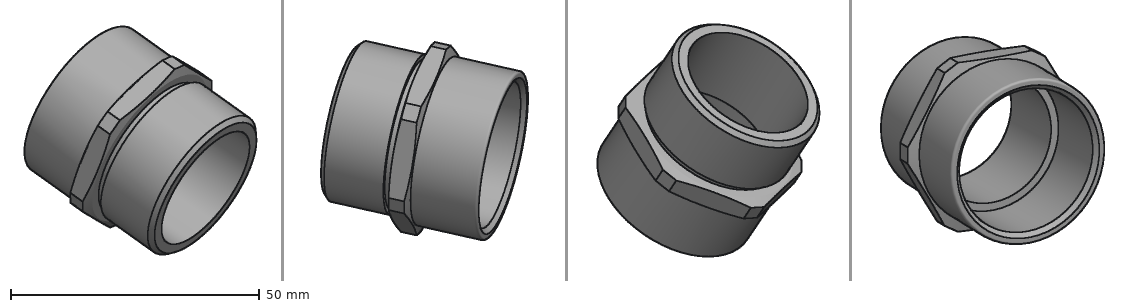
import cadquery as cq

TOTAL_LENGTH = 33.5

SOCKET_LENGTH = 14.0
SOCKET_DIAMETER = 34.98
SOCKET_LIP_RADIUS = 0.5
SOCKET_BORE_DIAMETER = 30.3
SOCKET_BORE_DEPTH = 16.0
SOCKET_BORE_CHAMFER = 1.0
SOCKET_MOUTH_ANGLE = 45.0

HEX_THICKNESS = 4.5
HEX_ACROSS_FLATS = 36.0
HEX_ACROSS_CORNERS = 39.57
HEX_FACE_DIAMETER = 35.15
HEX_BEVEL_ANGLE = 15.0

NECK_LENGTH = 1.5
NECK_DIAMETER = 31.25
SPIGOT_DIAMETER = 33.25
SPIGOT_CHAMFER = 1.0

THROUGH_BORE_DIAMETER = 27.0

HEX_START = SOCKET_LENGTH
NECK_START = HEX_START + HEX_THICKNESS
SPIGOT_START = NECK_START + NECK_LENGTH


def cylinder(start, length, diameter):
    """Solid cylinder along +X beginning at X = start."""
    return cq.Workplane("YZ", origin=(start, 0, 0)).circle(diameter / 2).extrude(length)


def hex_prism(across_flats, flat_angle):
    """Hexagonal collar blank with one flat facing flat_angle degrees from +Y."""
    return (
        cq.Workplane("YZ", origin=(HEX_START, 0, 0))
        .polygon(6, across_flats, circumscribed=True)
        .extrude(HEX_THICKNESS)
        .rotate((0, 0, 0), (1, 0, 0), flat_angle)
    )


def bevel_envelope():
    """Two shallow cones, base to base, that bevel both ends of the hexagon."""
    half_thickness = HEX_THICKNESS / 2
    cone_taper = HEX_BEVEL_ANGLE - 90
    middle = HEX_START + half_thickness
    face = cq.Workplane("YZ", origin=(HEX_START, 0, 0)).circle(HEX_FACE_DIAMETER / 2)
    first_half = face.extrude(half_thickness, taper=cone_taper)
    second_half = first_half.mirror("YZ", basePointVector=(middle, 0, 0))
    return first_half.union(second_half)


def make_socket():
    socket = cylinder(0, SOCKET_LENGTH, SOCKET_DIAMETER)
    return socket.faces("<X").edges().fillet(SOCKET_LIP_RADIUS)


def make_hex_collar():
    collar = hex_prism(HEX_ACROSS_FLATS, flat_angle=90)
    corner_trim = hex_prism(HEX_ACROSS_CORNERS, flat_angle=0)
    return collar.intersect(corner_trim).intersect(bevel_envelope())


def make_spigot():
    spigot = cylinder(SPIGOT_START, TOTAL_LENGTH - SPIGOT_START, SPIGOT_DIAMETER)
    return spigot.faces(">X").edges().chamfer(SPIGOT_CHAMFER)


def make_bores():
    """Stepped bore: wide socket with a chamfered mouth, then the through bore."""
    socket_bore = cylinder(0, SOCKET_BORE_DEPTH, SOCKET_BORE_DIAMETER)
    mouth_diameter = SOCKET_BORE_DIAMETER + 2 * SOCKET_BORE_CHAMFER
    mouth = (
        cq.Workplane("YZ")
        .circle(mouth_diameter / 2)
        .extrude(SOCKET_BORE_CHAMFER, taper=SOCKET_MOUTH_ANGLE)
    )
    through_bore = cylinder(0, TOTAL_LENGTH, THROUGH_BORE_DIAMETER)
    return socket_bore.union(mouth).union(through_bore)


neck = cylinder(NECK_START, NECK_LENGTH, NECK_DIAMETER)
body = make_socket().union(make_hex_collar()).union(neck).union(make_spigot())
result = body.cut(make_bores())